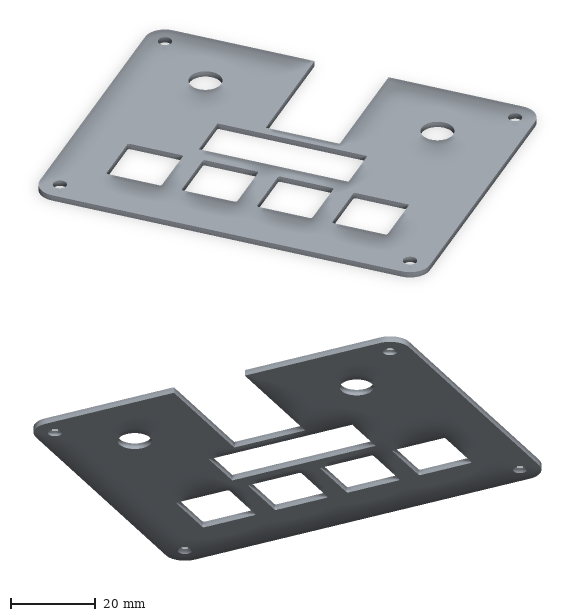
import cadquery as cq

length = 98.8
width = 76.8
thickness = 1.5
corner_radius = 5.0

screw_diameter = 3.4
screw_spacing_x = length - 2 * corner_radius
screw_spacing_y = width - 2 * corner_radius

round_diameter = 8.0
round_spacing = 58.8
round_center_x = 0.2
round_y = 21.0

notch_width = 18.8
notch_center_x = 0.9
notch_floor_y = 7.4
notch_depth = width / 2 - notch_floor_y

window_length = 37.9
window_height = 12.0
window_x = -0.7
window_y = -1.1

square_count = 4
square_side = 14.0
square_corner_radius = 0.5
square_pitch = 19.1
square_row_x = -0.4
square_row_y = -18.0


def box_cutter(size_x, size_y, x, y):
    """Rectangular cutter as tall as the plate, centred at (x, y)."""
    return cq.Workplane("XY").center(x, y).rect(size_x, size_y).extrude(thickness)


def hole_cutter(diameter, points):
    """Round cutters as tall as the plate at the given points."""
    return cq.Workplane("XY").pushPoints(points).circle(diameter / 2).extrude(thickness)


plate = cq.Workplane("XY").rect(length, width).extrude(thickness)
plate = plate.edges("|Z").fillet(corner_radius)

screw_points = [
    (side_x * screw_spacing_x / 2, side_y * screw_spacing_y / 2)
    for side_x in (-1, 1)
    for side_y in (-1, 1)
]
plate = plate.cut(hole_cutter(screw_diameter, screw_points))

round_points = [(round_center_x + side * round_spacing / 2, round_y) for side in (-1, 1)]
plate = plate.cut(hole_cutter(round_diameter, round_points))

notch_y = notch_floor_y + notch_depth / 2
plate = plate.cut(box_cutter(notch_width, notch_depth, notch_center_x, notch_y))

plate = plate.cut(box_cutter(window_length, window_height, window_x, window_y))

for index in range(square_count):
    square_x = square_row_x + (index - (square_count - 1) / 2) * square_pitch
    square = box_cutter(square_side, square_side, square_x, square_row_y)
    plate = plate.cut(square.edges("|Z").fillet(square_corner_radius))

result = plate